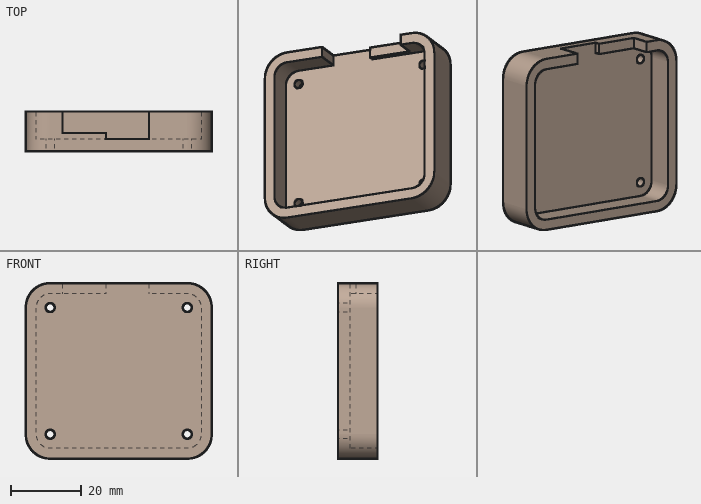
import cadquery as cq

width = 52.85
depth = 11.3
height = 49.9
corner_radius = 7.0

wall = 3.0
floor_thickness = 3.5
inner_radius = corner_radius - wall

hole_diameter = 2.5
hole_spacing_x = width - 2 * corner_radius
hole_spacing_z = height - 2 * corner_radius

notch_left = -15.9
notch_width = 24.5
step_width = notch_width / 2
shallow_floor = 5.2
deep_floor = floor_thickness


def rounded_block(size_x, size_z, radius, y_start, y_end):
    """Block with its edges along Y rounded, between two Y positions."""
    length = y_end - y_start
    block = cq.Workplane("XY").box(size_x, length, size_z).edges("|Y").fillet(radius)
    return block.translate((0, y_start + length / 2, 0))


def notch_step(x_start, y_floor):
    """One step of the notch, cutting through the top wall from the open side."""
    cutter = cq.Workplane("XY").box(step_width, depth - y_floor, wall, centered=False)
    return cutter.translate((x_start, y_floor, height / 2 - wall))


body = rounded_block(width, height, corner_radius, 0, depth)
cavity = rounded_block(
    width - 2 * wall, height - 2 * wall, inner_radius, floor_thickness, depth
)

screw_holes = (
    cq.Workplane("XZ")
    .rarray(hole_spacing_x, hole_spacing_z, 2, 2)
    .circle(hole_diameter / 2)
    .extrude(-depth)
)

result = (
    body.cut(cavity)
    .cut(screw_holes)
    .cut(notch_step(notch_left, shallow_floor))
    .cut(notch_step(notch_left + step_width, deep_floor))
)